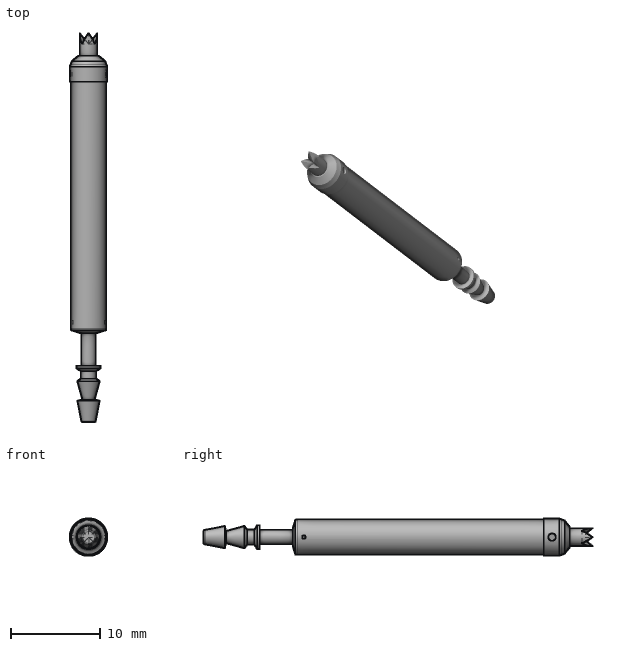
import cadquery as cq
import math

LENGTH = 43.5

STEM_RADIUS = 0.83
BARB_STEM_RADIUS = 0.85
TAIL_RADIUS = 0.83
TAIL_ROUND = 0.17
BARB_RADIUS = 1.25
BARB_NECK_RADIUS = 0.7
BARB_NECK_Y = 2.52
REAR_BARB_Y = 2.4
FRONT_BARB_Y = 4.55
BARB_LEAD_Y = 4.87
FLANGE_RADIUS = 1.35
FLANGE_CONE_START_Y = 5.7
FLANGE_CONE_END_Y = 6.0
FLANGE_FRONT_Y = 6.3

BARREL_RADIUS = 2.0
BARREL_REAR_Y = 9.95
BARREL_REAR_RADIUS = 0.95
BARREL_SHOULDER_Y = 10.25
BARREL_SHOULDER_RADIUS = 1.95
BARREL_CHAMFER_Y = 10.5

COLLAR_DIAMETER = 4.2
COLLAR_RADIUS = COLLAR_DIAMETER / 2
COLLAR_REAR_Y = 38.05
COLLAR_FRONT_Y = 39.75
NOSE_STEP_Y = 40.0
NOSE_STEP_RADIUS = 2.0
NOSE_CONE_Y = 40.35
NOSE_CONE_RADIUS = 1.85
NOSE_TIP_Y = 40.98
NOSE_TIP_RADIUS = 1.15

PLUNGER_RADIUS = 1.0
CROWN_DEPTH = 1.2
CROWN_GROOVE_ANGLES = (45, 135)

COLLAR_HOLE_DIAMETER = 0.83
COLLAR_HOLE_Y = 38.98
BARREL_HOLE_DIAMETER = 0.4
BARREL_HOLE_Y = 11.22
HOLE_DEPTH = 0.2


def turned_body():
    """Revolve the half outline (radius, Y) about the Y axis."""
    outline = (
        cq.Workplane("XY")
        .moveTo(0, 0)
        .lineTo(TAIL_RADIUS - TAIL_ROUND, 0)
        .radiusArc((TAIL_RADIUS, TAIL_ROUND), -TAIL_ROUND)
        .lineTo(BARB_RADIUS, REAR_BARB_Y)
        .lineTo(BARB_NECK_RADIUS, BARB_NECK_Y)
        .lineTo(BARB_RADIUS, FRONT_BARB_Y)
        .lineTo(BARB_STEM_RADIUS, BARB_LEAD_Y)
        .lineTo(BARB_STEM_RADIUS, FLANGE_CONE_START_Y)
        .lineTo(FLANGE_RADIUS, FLANGE_CONE_END_Y)
        .lineTo(FLANGE_RADIUS, FLANGE_FRONT_Y)
        .lineTo(STEM_RADIUS, FLANGE_FRONT_Y)
        .lineTo(STEM_RADIUS, BARREL_REAR_Y)
        .lineTo(BARREL_REAR_RADIUS, BARREL_REAR_Y)
        .lineTo(BARREL_SHOULDER_RADIUS, BARREL_SHOULDER_Y)
        .lineTo(BARREL_RADIUS, BARREL_CHAMFER_Y)
        .lineTo(BARREL_RADIUS, COLLAR_REAR_Y)
        .lineTo(COLLAR_RADIUS, COLLAR_REAR_Y)
        .lineTo(COLLAR_RADIUS, COLLAR_FRONT_Y)
        .lineTo(NOSE_STEP_RADIUS, NOSE_STEP_Y)
        .lineTo(NOSE_CONE_RADIUS, NOSE_CONE_Y)
        .lineTo(NOSE_TIP_RADIUS, NOSE_TIP_Y)
        .lineTo(PLUNGER_RADIUS, NOSE_TIP_Y)
        .lineTo(PLUNGER_RADIUS, LENGTH)
        .lineTo(0, LENGTH)
        .close()
    )
    return outline.revolve(360, (0, 0, 0), (0, 1, 0))


def crown_groove(angle):
    """V groove across the plunger tip, turned about Y; two of them leave four pointed teeth.

    The half width makes two crossed grooves meet exactly at the plunger's outer edge.
    """
    half_width = PLUNGER_RADIUS / math.sqrt(2)
    return (
        cq.Workplane("XY")
        .moveTo(-half_width, LENGTH)
        .lineTo(0, LENGTH - CROWN_DEPTH)
        .lineTo(half_width, LENGTH)
        .close()
        .extrude(COLLAR_RADIUS, both=True)
        .rotate((0, 0, 0), (0, 1, 0), angle)
    )


def side_hole(side, y, diameter, surface_radius):
    """Blind hole entering along X from the given side (+1 or -1)."""
    floor_x = side * (surface_radius - HOLE_DEPTH)
    return cq.Workplane("YZ", origin=(floor_x, y, 0)).circle(diameter / 2).extrude(side * HOLE_DEPTH)


result = turned_body()
for groove_angle in CROWN_GROOVE_ANGLES:
    result = result.cut(crown_groove(groove_angle))
for side in (-1, 1):
    result = result.cut(side_hole(side, COLLAR_HOLE_Y, COLLAR_HOLE_DIAMETER, COLLAR_RADIUS))
    result = result.cut(side_hole(side, BARREL_HOLE_Y, BARREL_HOLE_DIAMETER, BARREL_RADIUS))